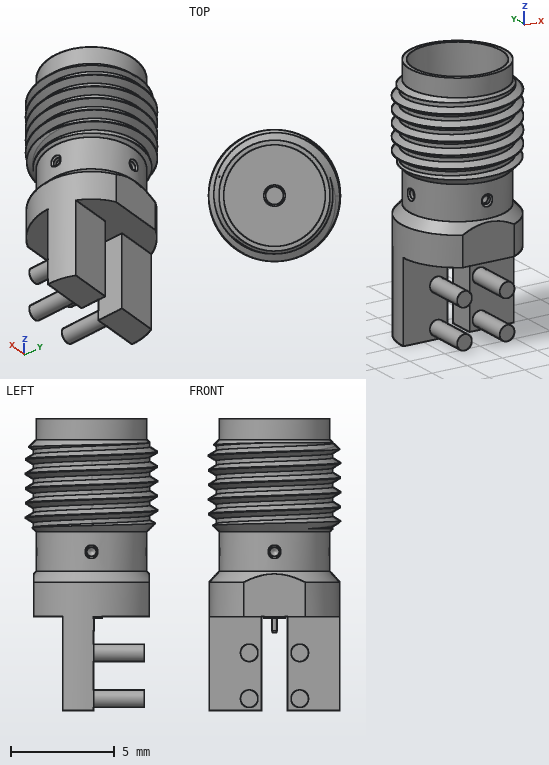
import cadquery as cq
import math

TOTAL_HEIGHT = 14.05
FLANGE_BOTTOM = 4.52
FLANGE_SHOULDER = 6.18
NECK_BOTTOM = 6.7
SIDE_HOLE_HEIGHT = 7.65
THREAD_BOTTOM = 8.61
THREAD_TOP = 13.04
CUP_DEPTH = 2.02
CUP_FLOOR = TOTAL_HEIGHT - CUP_DEPTH

BARREL_RADIUS = 2.67
CUP_RADIUS = 2.45
FLANGE_RADIUS = 3.15
FLAT_DISTANCE = 2.78

THREAD_RADIUS = 3.18
ROOT_RADIUS = 2.81
PITCH = 0.7
RIDGE_BASE_HALF_WIDTH = 0.49 / 2
CREST_HALF_WIDTH = 0.021
FIRST_CREST_HEIGHT = 8.4
TURNS = 7
CORE_SEAM_ANGLE = 180.0
ROOT_OVERLAP = 0.07

LEG_FRONT_Y = -0.1
LEG_BACK_Y = 1.39
SLOT_WIDTH = 1.25
PIN_RADIUS = 0.42
PIN_SPACING = 2.43
PIN_HEIGHTS = (0.58, 2.78)
PIN_END_Y = -2.55

SIDE_HOLE_RADIUS = 0.22
COUNTERSINK_RADIUS = 0.32
SIDE_HOLE_DEPTH = 0.28
DRILL_TIP_ANGLE = 118.0
SIDE_HOLE_COUNT = 4

BORE_RADIUS = 1.03 / 2
SOCKET_RADIUS = 0.86 / 2
BEAD_PROTRUSION = 0.08
BEAD_TOP = FLANGE_SHOULDER
CONTACT_RADIUS = 0.13
CONTACT_TIP = 3.74
CONTACT_CHAMFER_HEIGHT = 0.11
CONTACT_CHAMFER_WIDTH = 0.04


def cylinder(radius, bottom, top):
    """Vertical cylinder on the connector axis."""
    return cq.Workplane("XY").workplane(offset=bottom).circle(radius).extrude(top - bottom)


def revolve_outline(points):
    """Revolve a closed (radius, height) outline about the Z axis."""
    return cq.Workplane("XZ").polyline(points).close().revolve(360, (0, 0, 0), (0, 1, 0))


def make_flange():
    """Round flange with a conical shoulder and two parallel flats."""
    turned = revolve_outline([
        (0, FLANGE_BOTTOM),
        (FLANGE_RADIUS, FLANGE_BOTTOM),
        (FLANGE_RADIUS, FLANGE_SHOULDER),
        (BARREL_RADIUS, NECK_BOTTOM),
        (0, NECK_BOTTOM),
    ])
    flats = cq.Workplane("XY").box(2 * FLANGE_RADIUS, 2 * FLAT_DISTANCE, 2 * TOTAL_HEIGHT)
    return turned.intersect(flats)


def make_thread():
    """Right-handed thread on its core, with 45 degree cones at both ends."""
    length = TURNS * PITCH
    inner = ROOT_RADIUS - ROOT_OVERLAP
    flank_slope = (RIDGE_BASE_HALF_WIDTH - CREST_HALF_WIDTH) / (THREAD_RADIUS - ROOT_RADIUS)
    inner_half_width = RIDGE_BASE_HALF_WIDTH + flank_slope * ROOT_OVERLAP
    helix = cq.Wire.makeHelix(PITCH, length, inner, center=cq.Vector(0, 0, FIRST_CREST_HEIGHT))
    ridge = (
        cq.Workplane("XZ")
        .polyline([
            (inner, FIRST_CREST_HEIGHT - inner_half_width),
            (THREAD_RADIUS, FIRST_CREST_HEIGHT - CREST_HALF_WIDTH),
            (THREAD_RADIUS, FIRST_CREST_HEIGHT + CREST_HALF_WIDTH),
            (inner, FIRST_CREST_HEIGHT + inner_half_width),
        ])
        .close()
        .sweep(cq.Workplane(helix), isFrenet=True)
    )
    envelope_radius = THREAD_RADIUS + ROOT_OVERLAP
    cone = envelope_radius - BARREL_RADIUS
    envelope = revolve_outline([
        (0, THREAD_BOTTOM),
        (BARREL_RADIUS, THREAD_BOTTOM),
        (envelope_radius, THREAD_BOTTOM + cone),
        (envelope_radius, THREAD_TOP - cone),
        (BARREL_RADIUS, THREAD_TOP),
        (0, THREAD_TOP),
    ])
    core = cylinder(ROOT_RADIUS, THREAD_BOTTOM, THREAD_TOP).rotate((0, 0, 0), (0, 0, 1), CORE_SEAM_ANGLE)
    return core.union(ridge).intersect(envelope)


def make_legs():
    """Two legs below the flange, following its round side, with a slot between them."""
    disc = cylinder(FLANGE_RADIUS, 0, FLANGE_BOTTOM)
    slab = cq.Workplane("XY").box(
        2 * FLANGE_RADIUS, LEG_BACK_Y - LEG_FRONT_Y, FLANGE_BOTTOM, centered=(True, False, False)
    ).translate((0, LEG_FRONT_Y, 0))
    slot = cq.Workplane("XY").box(
        SLOT_WIDTH, 2 * FLANGE_RADIUS, FLANGE_BOTTOM, centered=(True, True, False)
    )
    return disc.intersect(slab).cut(slot)


def make_board_pins():
    """Four pins standing out of the legs toward -Y."""
    centers = [(side * PIN_SPACING / 2, z) for side in (-1, 1) for z in PIN_HEIGHTS]
    return (
        cq.Workplane("XZ", origin=(0, LEG_FRONT_Y, 0))
        .pushPoints(centers)
        .circle(PIN_RADIUS)
        .extrude(LEG_FRONT_Y - PIN_END_Y)
    )


def make_side_hole():
    """Cutter for one countersunk blind hole with a drill tip, on the +X side."""
    countersink_depth = COUNTERSINK_RADIUS - SIDE_HOLE_RADIUS
    tip_depth = SIDE_HOLE_RADIUS / math.tan(math.radians(DRILL_TIP_ANGLE / 2))
    hole_end = BARREL_RADIUS - SIDE_HOLE_DEPTH
    return (
        cq.Workplane("XZ")
        .polyline([
            (hole_end - tip_depth, 0),
            (hole_end, SIDE_HOLE_RADIUS),
            (BARREL_RADIUS - countersink_depth, SIDE_HOLE_RADIUS),
            (BARREL_RADIUS, COUNTERSINK_RADIUS),
            (FLANGE_RADIUS, COUNTERSINK_RADIUS),
            (FLANGE_RADIUS, 0),
        ])
        .close()
        .revolve(360, (0, 0, 0), (1, 0, 0))
        .translate((0, 0, SIDE_HOLE_HEIGHT))
    )


def make_housing():
    """Threaded housing with its flange, legs, board pins, cup and axial bore."""
    housing = cylinder(BARREL_RADIUS, NECK_BOTTOM, TOTAL_HEIGHT)
    for feature in (make_flange(), make_thread(), make_legs(), make_board_pins()):
        housing = housing.union(feature)
    housing = housing.cut(cylinder(CUP_RADIUS, CUP_FLOOR, TOTAL_HEIGHT))
    housing = housing.cut(cylinder(BORE_RADIUS, FLANGE_BOTTOM, CUP_FLOOR))
    for index in range(SIDE_HOLE_COUNT):
        angle = index * 360 / SIDE_HOLE_COUNT
        housing = housing.cut(make_side_hole().rotate((0, 0, 0), (0, 0, 1), angle))
    return housing


def make_sleeve():
    """Thin sleeve lining the bore from the bead up to the cup floor."""
    return cylinder(BORE_RADIUS, BEAD_TOP, CUP_FLOOR).cut(cylinder(SOCKET_RADIUS, BEAD_TOP, CUP_FLOOR))


def make_socket():
    """Centre conductor inside the sleeve, flush with the cup floor."""
    return cylinder(SOCKET_RADIUS, BEAD_TOP, CUP_FLOOR)


def make_bead():
    """Insulating bead in the bottom of the bore, standing slightly proud of the flange."""
    bottom = FLANGE_BOTTOM - BEAD_PROTRUSION
    return cylinder(BORE_RADIUS, bottom, BEAD_TOP).cut(cylinder(CONTACT_RADIUS, bottom, BEAD_TOP))


def make_contact():
    """Thin contact through the bead, with a chamfered lower tip."""
    contact = cylinder(CONTACT_RADIUS, CONTACT_TIP, BEAD_TOP)
    return contact.faces("<Z").chamfer(CONTACT_CHAMFER_HEIGHT, CONTACT_CHAMFER_WIDTH)


housing = make_housing()
sleeve = make_sleeve()
socket = make_socket()
bead = make_bead()
contact = make_contact()

result = cq.Compound.makeCompound([
    housing.solids().val(),
    sleeve.solids().val(),
    socket.val(),
    bead.solids().val(),
    contact.solids().val(),
])